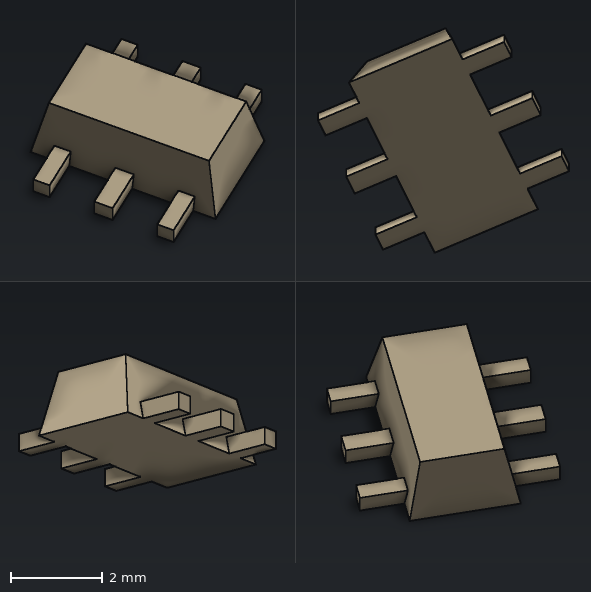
import cadquery as cq

body_length = 4.5
body_width = 2.5
body_height = 1.5
side_inset = 0.3

lead_span = 4.5
lead_height = 0.405
lead_pitch = 1.508
outer_lead_width = 0.4
middle_lead_width = 0.45


def make_body():
    return (
        cq.Workplane("XY")
        .rect(body_length, body_width)
        .workplane(offset=body_height)
        .rect(body_length - 2 * side_inset, body_width - 2 * side_inset)
        .loft(ruled=True)
    )


def make_lead(x_center, width):
    """One bar along Y that forms a lead on both sides of the body."""
    return (
        cq.Workplane("XY")
        .center(x_center, 0)
        .rect(width, lead_span)
        .extrude(lead_height)
    )


result = make_body()
for x_center, width in (
    (-lead_pitch, outer_lead_width),
    (0, middle_lead_width),
    (lead_pitch, outer_lead_width),
):
    result = result.union(make_lead(x_center, width))